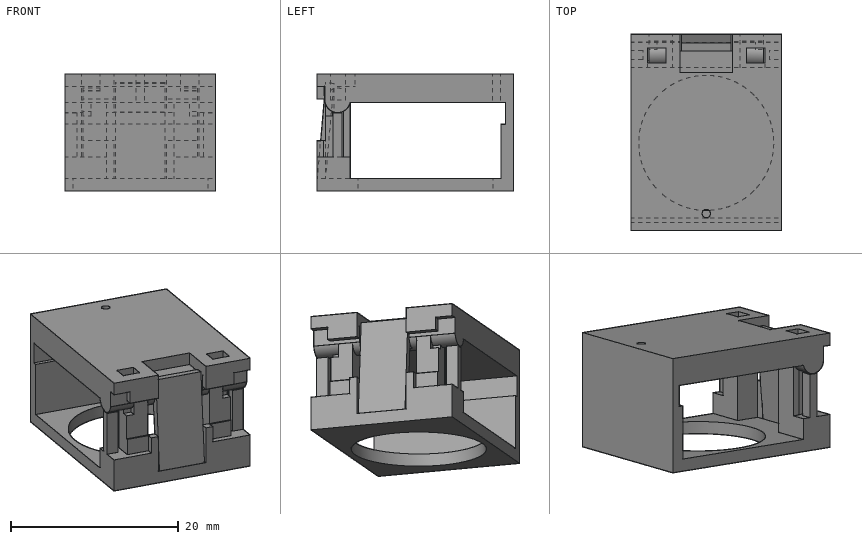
import cadquery as cq
import math

width = 18.0
length = 23.5
height = 14.0
half_width = width / 2

seam_z = 8.01
lid_thickness = 3.43
lid_front_wall = 0.99
lid_plate = 1.5
vent_diameter = 0.99
vent_y = 2.05

base_floor = 1.5
base_front_wall = 1.5
base_back_height = 4.05
base_back_depth = 4.0
window_radius = 8.08

barrel_radius = 1.53
hinge_y = length - base_back_depth + barrel_radius
hinge_z = 10.9
pin_radius = 1.4
pocket_width = 2.16
pocket_length = 1.79
pocket_center_x = 5.92
pocket_center_y = 20.96

block_inner_x = 4.07
block_outer_x = 6.86
cheek_outer_x = 7.0
cheek_length = 0.82
block_back_inset = 1.0
block_foot_inset = 0.8
block_notch_length = 0.82
block_notch_depth = 0.99
block_notch_z = 9.0
post_length = 1.05
post_width = 1.45
post_top_z = 9.33
stop_height = 6.02

notch_width = 6.27
notch_length = 4.55
latch_width = 5.95
latch_lean_degrees = 5.0
latch_top_z = 12.95
latch_top_inset = 1.03
latch_thickness = 0.99

lip_depth = 0.9
lip_height = 1.5

cavity_back_y = length - base_back_depth
lid_underside_z = height - lid_thickness
plate_underside_z = height - lid_plate
block_back_y = length - block_back_inset
latch_top_y = length - latch_top_inset
latch_front_y = latch_top_y - latch_thickness


def box(x0, x1, y0, y1, z0, z1):
    """Box between two opposite corners."""
    return cq.Workplane("XY").box(x1 - x0, y1 - y0, z1 - z0, centered=False).translate((x0, y0, z0))


def full_width(y0, y1, z0, z1):
    """Box across the whole width."""
    return box(-half_width, half_width, y0, y1, z0, z1)


def cylinder_along_x(radius, x0, x1):
    """Cylinder on the hinge axis."""
    plane = cq.Workplane("YZ", origin=(x0, hinge_y, hinge_z))
    return plane.circle(radius).extrude(x1 - x0)


def both_sides(shape):
    """The shape and its mirror image across the middle of the width."""
    return shape.union(shape.mirror("YZ"))


def make_lid():
    """Lid with its front wall, hinge barrel, latch notch, pin pockets and vent."""
    lid = full_width(0, length, plate_underside_z, height)
    lid = lid.union(full_width(0, hinge_y + barrel_radius, lid_underside_z, plate_underside_z))
    lid = lid.union(full_width(0, lid_front_wall, seam_z, lid_underside_z))
    lid = lid.union(cylinder_along_x(barrel_radius, -half_width, half_width))

    lip = box(notch_width / 2, block_outer_x, length - lip_depth, length,
              plate_underside_z - lip_height, plate_underside_z)
    lid = lid.union(both_sides(lip))

    half_notch = notch_width / 2
    lid = lid.cut(box(-half_notch, half_notch, length - notch_length, length, plate_underside_z, height))
    lid = lid.cut(box(-half_notch, half_notch, latch_front_y, length, 0, height))

    pocket = box(pocket_center_x - pocket_width / 2, pocket_center_x + pocket_width / 2,
                 pocket_center_y - pocket_length / 2, pocket_center_y + pocket_length / 2,
                 hinge_z, height)
    lid = lid.cut(both_sides(pocket))

    vent = cq.Workplane("XY").center(0, vent_y).circle(vent_diameter / 2).extrude(height)
    return lid.cut(vent)


def make_base():
    """Floor with a round window, front wall and back sills."""
    base = full_width(0, length, 0, base_floor)
    base = base.union(full_width(0, base_front_wall, base_floor, seam_z))
    window_y = (base_front_wall + cavity_back_y) / 2
    base = base.cut(cq.Workplane("XY").center(0, window_y).circle(window_radius).extrude(base_floor))

    sill = box(block_inner_x, half_width, cavity_back_y, length, base_floor, base_back_height)
    return base.union(both_sides(sill))


def make_hinge_support():
    """Block, cheek, post, stop and pin on the +X side."""
    block = box(block_inner_x, block_outer_x, cavity_back_y, block_back_y, base_back_height, hinge_z)
    notch = box(block_outer_x - block_notch_depth, block_outer_x,
                block_back_y - block_notch_length, block_back_y, block_notch_z, hinge_z)
    foot = box(block_inner_x, block_outer_x, cavity_back_y, length - block_foot_inset,
               base_back_height, stop_height)
    stop = box(notch_width / 2, block_inner_x, block_back_y, length, 0, stop_height)
    cheek = box(block_inner_x, cheek_outer_x, cavity_back_y, cavity_back_y + cheek_length,
                base_back_height, hinge_z)
    post = box(half_width - post_width, half_width, hinge_y - post_length / 2, hinge_y + post_length / 2,
               base_back_height, post_top_z)
    pin = cylinder_along_x(pin_radius, block_inner_x, block_outer_x)
    return block.cut(notch).union(foot).union(stop).union(cheek).union(post).union(pin)


def make_latch():
    """Slab rising from the floor and leaning inwards."""
    lean_slope = math.tan(math.radians(latch_lean_degrees))
    foot_shift = (latch_top_z - base_floor) * lean_slope
    top_drop = latch_thickness * lean_slope
    outline = [
        (latch_top_y + foot_shift, base_floor),
        (latch_top_y, latch_top_z),
        (latch_front_y, latch_top_z - top_drop),
        (latch_front_y + foot_shift, base_floor),
    ]
    plane = cq.Workplane("YZ", origin=(-latch_width / 2, 0, 0))
    return plane.polyline(outline).close().extrude(latch_width)


result = make_lid().union(make_base()).union(both_sides(make_hinge_support())).union(make_latch())